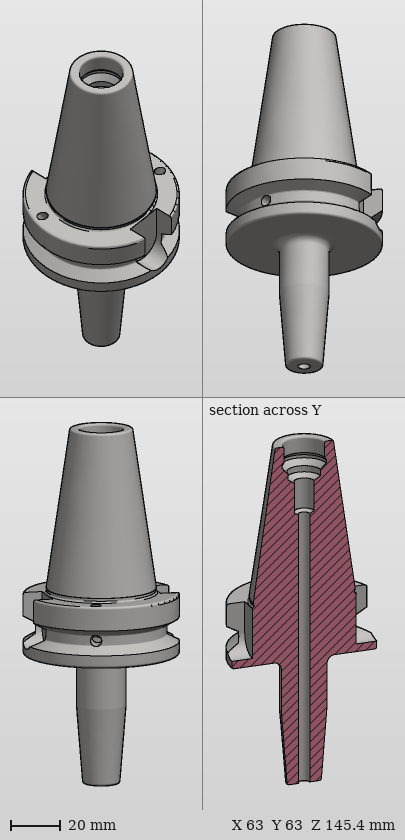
import cadquery as cq
import math

total_length = 145.4
gauge_height = 80.0
flange_bottom = 53.0
flange_top = 78.1
groove_middle = 63.4
nose_cone_top = 32.0

gauge_radius = 22.2
flange_diameter = 63.0
flange_radius = flange_diameter / 2
groove_radius = 26.5
nose_radius = 10.0
nose_tip_radius = 7.5

taper_slope = 7 / 48
taper_top_radius = gauge_radius - taper_slope * (total_length - gauge_height)
taper_end_round = 1.0

neck_radius = 22.0
neck_fillet = 0.7

flange_top_round = 1.0
flange_bottom_round = 1.0
groove_floor_width = 4.4
groove_flank_angle = 30.0
groove_flank_height = (flange_radius - groove_radius) * math.tan(math.radians(groove_flank_angle))
groove_floor_low = groove_middle - groove_floor_width / 2
groove_floor_high = groove_middle + groove_floor_width / 2
groove_fillet = 0.6
nose_root_fillet = 3.0
nose_tip_round = 1.0

slot_width = 16.1
slot_floor_distance = 22.5
slot_bottom = 56.5

bore_radius = 8.7
bore_mouth_round = 1.0
bore_depth = 7.0
relief_radius = 9.5
relief_flare_depth = 8.1
relief_depth = 9.5
upper_step_radius = 7.0
upper_step_depth = 14.5
lower_step_radius = 4.2
lower_step_depth = 29.1
through_radius = 2.5
drill_point_angle = 31.0
drill_point_slope = math.tan(math.radians(drill_point_angle))

duct_diameter = 4.0
groove_hole_diameter = 4.5
duct_azimuth = 70.2
duct_mouth_distance = 27.0
duct_tilt = 30.0


def make_body():
    """Revolve the outer outline of shank, flange and nose."""
    outline = (
        cq.Workplane("XZ")
        .moveTo(0, 0)
        .lineTo(nose_tip_radius - nose_tip_round, 0)
        .radiusArc((nose_tip_radius, nose_tip_round), -nose_tip_round)
        .lineTo(nose_radius, nose_cone_top)
        .lineTo(nose_radius, flange_bottom - nose_root_fillet)
        .radiusArc((nose_radius + nose_root_fillet, flange_bottom), nose_root_fillet)
        .lineTo(flange_radius - flange_bottom_round, flange_bottom)
        .radiusArc((flange_radius, flange_bottom + flange_bottom_round), -flange_bottom_round)
        .lineTo(flange_radius, groove_floor_low - groove_flank_height)
        .lineTo(groove_radius, groove_floor_low)
        .lineTo(groove_radius, groove_floor_high)
        .lineTo(flange_radius, groove_floor_high + groove_flank_height)
        .lineTo(flange_radius, flange_top - flange_top_round)
        .radiusArc((flange_radius - flange_top_round, flange_top), -flange_top_round)
        .lineTo(neck_radius + neck_fillet, flange_top)
        .radiusArc((neck_radius, flange_top + neck_fillet), neck_fillet)
        .lineTo(neck_radius, gauge_height)
        .lineTo(gauge_radius, gauge_height)
        .lineTo(taper_top_radius, total_length)
        .lineTo(0, total_length)
        .close()
    )
    body = outline.revolve(360, (0, 0, 0), (0, 1, 0))
    groove_corners = cq.selectors.BoxSelector(
        (-flange_radius, -flange_radius, groove_floor_low - groove_fillet),
        (flange_radius, flange_radius, groove_floor_high + groove_fillet),
    )
    body = body.edges(groove_corners).edges("%CIRCLE").fillet(groove_fillet)
    return body.faces(">Z").edges().fillet(taper_end_round)


def make_bore():
    """Revolve the stepped bore that runs down from the shank end and out of the nose."""
    upper_step_height = total_length - upper_step_depth
    lower_step_height = total_length - lower_step_depth
    upper_point_height = (upper_step_radius - lower_step_radius) * drill_point_slope
    lower_point_height = (lower_step_radius - through_radius) * drill_point_slope
    shoulder_height = relief_radius - upper_step_radius
    outline = (
        cq.Workplane("XZ")
        .moveTo(0, 0)
        .lineTo(through_radius, 0)
        .lineTo(through_radius, lower_step_height - lower_point_height)
        .lineTo(lower_step_radius, lower_step_height)
        .lineTo(lower_step_radius, upper_step_height - upper_point_height)
        .lineTo(upper_step_radius, upper_step_height)
        .lineTo(upper_step_radius, total_length - relief_depth - shoulder_height)
        .lineTo(relief_radius, total_length - relief_depth)
        .lineTo(relief_radius, total_length - relief_flare_depth)
        .lineTo(bore_radius, total_length - bore_depth)
        .lineTo(bore_radius, total_length - bore_mouth_round)
        .radiusArc((bore_radius + bore_mouth_round, total_length), bore_mouth_round)
        .lineTo(0, total_length)
        .close()
    )
    return outline.revolve(360, (0, 0, 0), (0, 1, 0))


def make_slot():
    """Round-bottomed drive slot on the +X side, open outward and upward."""
    half_width = slot_width / 2
    slot_round_height = slot_bottom + half_width
    return (
        cq.Workplane("YZ", origin=(slot_floor_distance, 0, 0))
        .moveTo(-half_width, flange_top)
        .lineTo(-half_width, slot_round_height)
        .threePointArc((0, slot_bottom), (half_width, slot_round_height))
        .lineTo(half_width, flange_top)
        .close()
        .extrude(flange_radius)
    )


def make_duct():
    """Sloping hole and the radial groove hole it runs into, at the duct azimuth."""
    tilt = math.radians(duct_tilt)
    duct_radius = duct_diameter / 2
    drop = flange_top - groove_middle
    meeting_distance = duct_mouth_distance - drop * math.tan(tilt)
    overrun = duct_diameter
    mouth = cq.Vector(duct_mouth_distance, 0, flange_top)
    downward = cq.Vector(-math.sin(tilt), 0, -math.cos(tilt))
    start = mouth - downward * overrun
    sloping = cq.Solid.makeCylinder(duct_radius, overrun + drop / math.cos(tilt), start, downward)
    radial = cq.Solid.makeCylinder(
        groove_hole_diameter / 2,
        flange_radius - meeting_distance,
        cq.Vector(meeting_distance, 0, groove_middle),
        cq.Vector(1, 0, 0),
    )
    duct = cq.Workplane(sloping).union(cq.Workplane(radial))
    return duct.rotate((0, 0, 0), (0, 0, 1), duct_azimuth)


result = make_body().cut(make_bore())
for half_turn in (0, 180):
    for cutter in (make_slot(), make_duct()):
        result = result.cut(cutter.rotate((0, 0, 0), (0, 0, 1), half_turn))